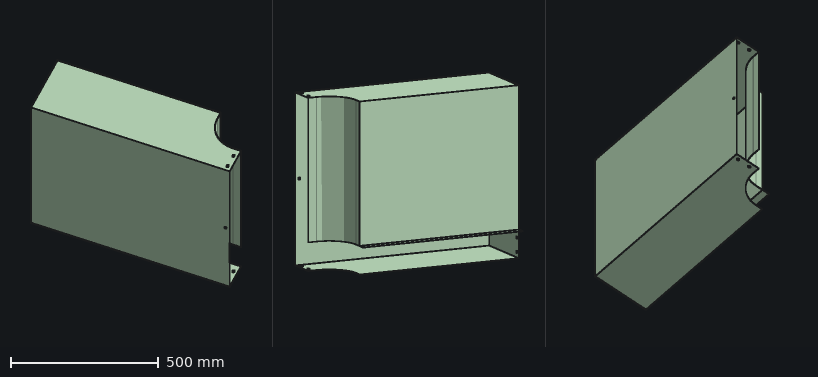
import cadquery as cq

length = 731.0
depth = 259.0
height = 600.0
sheet = 1.0

lip_reach = 30.0
back_inner = depth - lip_reach
body_length = 600.0
back_length = body_length + sheet
lip_bottom = 99.5
lip_hole_diameter = 5.0

scoop_radius = 100.0
nose_depth = 99.5

hole_diameter = 7.0
slot_width = 7.0
slot_length = 10.0
edge_distance = 15.0
first_slot = 20.0
slot_pitch = 50.0
slot_positions = (first_slot, first_slot + slot_pitch)


def panel(x_size, y_size, z_size, origin):
    """Rectangular sheet placed by its lowest corner."""
    return cq.Workplane("XY").box(x_size, y_size, z_size, centered=False).translate(origin)


def hole_cutter(diameter, start, direction, reach):
    """Round cutter running from start along direction."""
    return cq.Workplane(
        cq.Solid.makeCylinder(diameter / 2, reach, cq.Vector(*start), cq.Vector(*direction))
    )


def scooped_plate(bottom):
    """Horizontal plate with a concave back right corner."""
    return (
        cq.Workplane("XY", origin=(0, 0, bottom))
        .moveTo(0, 0)
        .lineTo(length, 0)
        .lineTo(length, nose_depth)
        .lineTo(body_length + scoop_radius, nose_depth)
        .radiusArc((body_length, nose_depth + scoop_radius), scoop_radius)
        .lineTo(body_length, back_inner)
        .lineTo(0, back_inner)
        .close()
        .extrude(sheet)
    )


def scoop_wall():
    """Upright sheet following the scoop, from the lip level up to the top."""
    inner_radius = scoop_radius - sheet
    arc_end_x = body_length + scoop_radius
    arc_end_y = nose_depth + scoop_radius
    return (
        cq.Workplane("XY", origin=(0, 0, lip_bottom))
        .moveTo(length, nose_depth)
        .lineTo(arc_end_x, nose_depth)
        .radiusArc((body_length, arc_end_y), scoop_radius)
        .lineTo(body_length, back_inner + sheet)
        .lineTo(back_length, back_inner + sheet)
        .lineTo(back_length, arc_end_y)
        .radiusArc((arc_end_x, nose_depth + sheet), -inner_radius)
        .lineTo(length, nose_depth + sheet)
        .close()
        .extrude(height - lip_bottom)
    )


front = panel(length, sheet, height, (0, 0, 0))
left = panel(sheet, back_inner, height, (0, 0, 0))
back = panel(back_length, sheet, height - lip_bottom, (0, back_inner, lip_bottom))
lip = panel(back_length, depth - back_inner, sheet, (0, back_inner, lip_bottom))
result = front.union(left).union(scooped_plate(0)).union(scooped_plate(height - sheet))
result = result.union(back).union(lip).union(scoop_wall()).clean()

for position in slot_positions:
    plate_slot = (
        cq.Workplane("XY")
        .center(length - edge_distance, position)
        .slot2D(slot_length, slot_width, 90)
        .extrude(height)
    )
    side_slot = (
        cq.Workplane("YZ")
        .center(back_inner - edge_distance, position)
        .slot2D(slot_length, slot_width)
        .extrude(sheet)
    )
    result = result.cut(plate_slot).cut(side_slot)

result = result.cut(hole_cutter(hole_diameter, (length - edge_distance, 0, height / 2), (0, 1, 0), sheet))
lip_hole_start = (back_length / 2, depth - lip_reach / 2, lip_bottom)
result = result.cut(hole_cutter(lip_hole_diameter, lip_hole_start, (0, 0, 1), sheet))